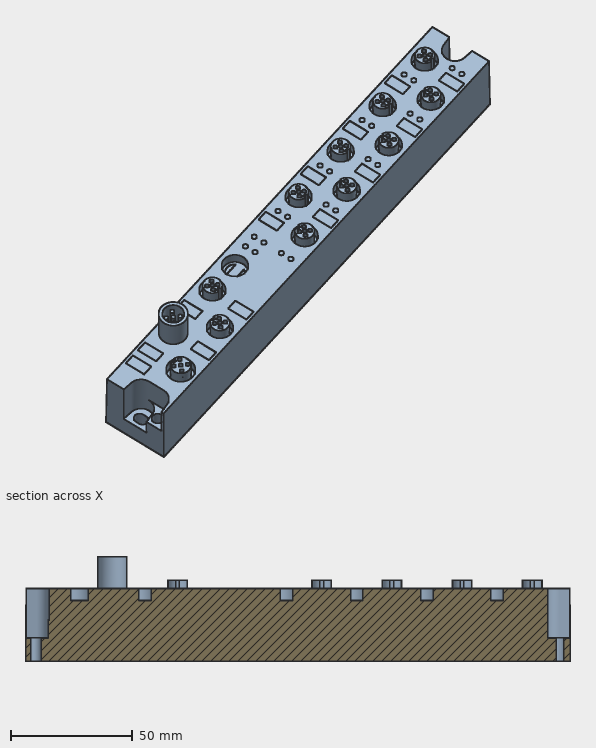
import cadquery as cq
import math

LENGTH = 225.0
BASE_WIDTH = 30.0
TOP_WIDTH = 29.2
END_DRAFT = 0.2
BODY_HEIGHT = 30.2
TOTAL_HEIGHT = 43.2

ROW_X = 7.0
FIRST_SOCKET_Y = 96.8
IO_SOCKET_COUNT = 8
IO_SOCKET_SPAN = 101.5
SOCKET_PITCH = IO_SOCKET_SPAN / (IO_SOCKET_COUNT - 1)
DIAL_Y = -34.2
SUPPLY_FIRST_Y = -49.7
SUPPLY_PITCH = 13.5
SUPPLY_COUNT = 4
LEFT = -1
RIGHT = 1

SOCKET_RISE = 3.4
GROOVE_DEPTH = 5.0
SMALL_GROOVE_DIAMETER = 11.0
SMALL_PILLAR_DIAMETER = 8.0
LARGE_GROOVE_DIAMETER = 12.2
LARGE_PILLAR_DIAMETER = 8.5
KEY_WIDTH = 1.5
KEY_DEPTH = 1.4
CONTACT_DEPTH = 3.4
SMALL_CONTACT_DIAMETER = 1.8
SMALL_CONTACT_RADIUS = 2.2
LARGE_CONTACT_DIAMETER = 1.8
LARGE_CONTACT_RADIUS = 3.0

SLEEVE_DIAMETER = 12.2
SLEEVE_BORE = 9.0
PIN_RECESS = 2.2

DIAL_RISE = 0.5
DIAL_SLOT_WIDTH = 4.3

MARK_DEPTH = 0.2
LED_DIAMETER = 2.2
LED_INNER_X = 4.5
LED_OUTER_X = 9.5
LED_AFTER_SOCKET = 3.5
STATUS_LED_Y = -17.5
STATUS_LED_STEP = 6.0
LABEL_LENGTH = 9.5
LABEL_WIDTH = 5.0
LABEL_X = 8.5
LABEL_BELOW_LED = 5.8
FIRST_SUPPLY_LABEL_Y = -50.8
LAST_LABEL_Y = -98.5

MOUNT_FROM_END = 4.3
POCKET_RADIUS = 5.5
POCKET_FLARE = 6.0
POCKET_FLOOR = 9.7
LEDGE_FLOOR = 17.0
LEDGE_ARC_X = 7.6
GROUND_HOLE_X = 8.5
GROUND_HOLE_DIAMETER = 5.0
SLOT_WIDTH = 4.7
FRONT_SLOT_LENGTH = 6.3
REAR_SLOT_LENGTH = 5.5


def cylinder(x, y, diameter, bottom, top):
    """Upright cylinder between two heights."""
    return cq.Workplane("XY", origin=(x, y, bottom)).circle(diameter / 2).extrude(top - bottom)


def box(x, y, length_x, length_y, bottom, top):
    """Upright block centred on (x, y) between two heights."""
    return cq.Workplane("XY", origin=(x, y, bottom)).rect(length_x, length_y).extrude(top - bottom)


def make_housing():
    return (
        cq.Workplane("XY")
        .rect(BASE_WIDTH, LENGTH)
        .workplane(offset=BODY_HEIGHT)
        .rect(TOP_WIDTH, LENGTH - 2 * END_DRAFT)
        .loft()
    )


def end_pocket(left_x, right_x, floor):
    """Pocket open to the -Y end, rounded inside, with flared side walls."""
    flare = math.radians(POCKET_FLARE)
    centre_y = -LENGTH / 2 + MOUNT_FROM_END
    outside_y = centre_y - 2 * MOUNT_FROM_END
    touch_x = POCKET_RADIUS * math.cos(flare)
    touch_y = centre_y + POCKET_RADIUS * math.sin(flare)
    mouth_x = touch_x + (touch_y - outside_y) * math.tan(flare)
    back_y = centre_y + POCKET_RADIUS
    middle = math.radians((90 + POCKET_FLARE) / 2)
    bend_x = POCKET_RADIUS * math.cos(middle)
    bend_y = centre_y + POCKET_RADIUS * math.sin(middle)
    outline = (
        cq.Workplane("XY", origin=(0, 0, floor))
        .moveTo(left_x - mouth_x, outside_y)
        .lineTo(left_x - touch_x, touch_y)
        .threePointArc((left_x - bend_x, bend_y), (left_x, back_y))
    )
    if right_x > left_x:
        outline = outline.lineTo(right_x, back_y)
    return (
        outline
        .threePointArc((right_x + bend_x, bend_y), (right_x + touch_x, touch_y))
        .lineTo(right_x + mouth_x, outside_y)
        .close()
        .extrude(BODY_HEIGHT - floor)
    )


def mounting_slot(y, length, angle):
    return (
        cq.Workplane("XY", origin=(0, y, 0))
        .slot2D(length, SLOT_WIDTH, angle)
        .extrude(BODY_HEIGHT)
    )


def cut_mountings(body):
    hole_y = LENGTH / 2 - MOUNT_FROM_END
    mount_pocket = end_pocket(0, 0, POCKET_FLOOR)
    body = body.cut(mount_pocket)
    body = body.cut(mount_pocket.mirror("XZ"))
    body = body.cut(end_pocket(0, LEDGE_ARC_X, LEDGE_FLOOR))
    body = body.cut(mounting_slot(hole_y, REAR_SLOT_LENGTH, 90))
    body = body.cut(mounting_slot(-hole_y, FRONT_SLOT_LENGTH, 0))
    return body.cut(cylinder(GROUND_HOLE_X, -hole_y, GROUND_HOLE_DIAMETER, 0, BODY_HEIGHT))


def contact_points(x, y, radius):
    """One central contact and four on the diagonals around it."""
    offset = radius / math.sqrt(2)
    corners = [(x + i * offset, y + j * offset) for i in (-1, 1) for j in (-1, 1)]
    return [(x, y)] + corners


def add_socket(body, side, y, groove_diameter, pillar_diameter, contact_diameter, contact_radius):
    """Ring groove, pillar, key notch facing the centre line, and contact holes."""
    x = side * ROW_X
    bottom = BODY_HEIGHT - GROOVE_DEPTH
    top = BODY_HEIGHT + SOCKET_RISE
    body = body.cut(cylinder(x, y, groove_diameter, bottom, BODY_HEIGHT))
    pillar = cylinder(x, y, pillar_diameter, bottom, top)
    key_x = x - side * pillar_diameter / 2
    pillar = pillar.cut(box(key_x, y, 2 * KEY_DEPTH, KEY_WIDTH, bottom, top))
    for contact_x, contact_y in contact_points(x, y, contact_radius):
        pillar = pillar.cut(cylinder(contact_x, contact_y, contact_diameter, top - CONTACT_DEPTH, top))
    return body.union(pillar)


def add_small_socket(body, side, y):
    return add_socket(body, side, y, SMALL_GROOVE_DIAMETER, SMALL_PILLAR_DIAMETER,
                      SMALL_CONTACT_DIAMETER, SMALL_CONTACT_RADIUS)


def add_large_socket(body, side, y):
    return add_socket(body, side, y, LARGE_GROOVE_DIAMETER, LARGE_PILLAR_DIAMETER,
                      LARGE_CONTACT_DIAMETER, LARGE_CONTACT_RADIUS)


def add_tall_plug(body, side, y):
    x = side * ROW_X
    sleeve = cylinder(x, y, SLEEVE_DIAMETER, BODY_HEIGHT, TOTAL_HEIGHT)
    body = body.union(sleeve.cut(cylinder(x, y, SLEEVE_BORE, BODY_HEIGHT, TOTAL_HEIGHT)))
    for pin_x, pin_y in contact_points(x, y, LARGE_CONTACT_RADIUS):
        pin = cylinder(pin_x, pin_y, LARGE_CONTACT_DIAMETER, BODY_HEIGHT, TOTAL_HEIGHT - PIN_RECESS)
        body = body.union(pin)
    return body


def add_dial(body):
    x = LEFT * ROW_X
    floor = BODY_HEIGHT - GROOVE_DEPTH
    body = body.cut(cylinder(x, DIAL_Y, SMALL_GROOVE_DIAMETER, floor, BODY_HEIGHT))
    disc = cylinder(x, DIAL_Y, SMALL_PILLAR_DIAMETER, floor, floor + DIAL_RISE)
    slot = box(x, DIAL_Y, DIAL_SLOT_WIDTH, SMALL_PILLAR_DIAMETER, floor, floor + DIAL_RISE)
    return body.union(disc.cut(slot))


def cut_led_pair(body, side, y):
    for x in (LED_INNER_X, LED_OUTER_X):
        body = body.cut(cylinder(side * x, y, LED_DIAMETER, BODY_HEIGHT - MARK_DEPTH, BODY_HEIGHT))
    return body


def cut_label(body, side, y):
    return body.cut(
        box(side * LABEL_X, y, LABEL_LENGTH, LABEL_WIDTH, BODY_HEIGHT - MARK_DEPTH, BODY_HEIGHT)
    )


result = cut_mountings(make_housing())

for index in range(IO_SOCKET_COUNT):
    socket_side = LEFT if index % 2 == 0 else RIGHT
    socket_y = FIRST_SOCKET_Y - index * SOCKET_PITCH
    led_y = socket_y + LED_AFTER_SOCKET
    result = add_small_socket(result, socket_side, socket_y)
    result = cut_led_pair(result, -socket_side, led_y)
    result = cut_label(result, -socket_side, led_y - LABEL_BELOW_LED)

result = cut_led_pair(result, LEFT, STATUS_LED_Y)
result = cut_led_pair(result, RIGHT, STATUS_LED_Y)
result = cut_led_pair(result, LEFT, STATUS_LED_Y - STATUS_LED_STEP)
result = add_dial(result)

supply_y = [SUPPLY_FIRST_Y - index * SUPPLY_PITCH for index in range(SUPPLY_COUNT)]
result = add_small_socket(result, LEFT, supply_y[0])
result = add_small_socket(result, RIGHT, supply_y[1])
result = add_tall_plug(result, LEFT, supply_y[2])
result = add_large_socket(result, RIGHT, supply_y[3])
result = cut_label(result, RIGHT, FIRST_SUPPLY_LABEL_Y)
result = cut_label(result, LEFT, supply_y[1])
result = cut_label(result, RIGHT, supply_y[2])
result = cut_label(result, LEFT, supply_y[3])
result = cut_label(result, LEFT, LAST_LABEL_Y)